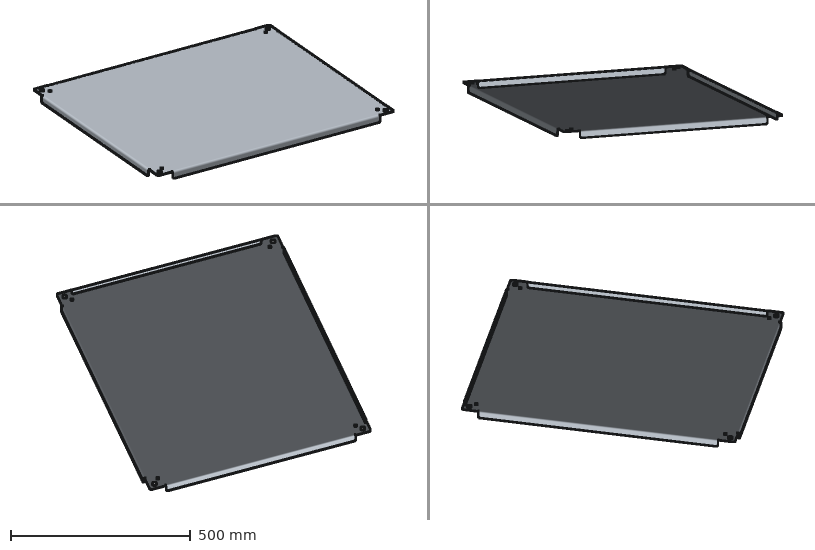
import cadquery as cq

LENGTH_X = 659.0
LENGTH_Y = 783.0
HEIGHT = 22.0

THICKNESS = 2.5
BEND_RADIUS = 6.0
INNER_RADIUS = BEND_RADIUS - THICKNESS

CORNER_INSET = 3.0
CORNER_RADIUS = 6.0

FLANGE_LENGTH_X = 559.5
FLANGE_LENGTH_Y = 682.0
FLANGE_CORNER_CHAMFER = 4.0

MOUNT_HOLE_DIAMETER = 12.5
MOUNT_HOLE_SPACING_X = 615.0
MOUNT_HOLE_SPACING_Y = 742.0
SMALL_HOLE_DIAMETER = 7.1
SMALL_HOLE_SPACING_X = 585.0
SMALL_HOLE_SPACING_Y = 708.0


def flat_sheet():
    """Rounded sheet, notched along each flange back to the start of the bend."""
    size_x = LENGTH_X - 2 * CORNER_INSET
    size_y = LENGTH_Y - 2 * CORNER_INSET
    sheet = (
        cq.Workplane("XY")
        .workplane(offset=HEIGHT - THICKNESS)
        .rect(size_x, size_y)
        .extrude(THICKNESS)
        .edges("|Z")
        .fillet(CORNER_RADIUS)
    )
    for side in (-1, 1):
        notch_x = cq.Workplane("XY").box(2 * BEND_RADIUS, FLANGE_LENGTH_Y, 2 * HEIGHT + THICKNESS)
        notch_y = cq.Workplane("XY").box(FLANGE_LENGTH_X, 2 * BEND_RADIUS, 2 * HEIGHT + THICKNESS)
        sheet = sheet.cut(notch_x.translate((side * LENGTH_X / 2, 0, 0)))
        sheet = sheet.cut(notch_y.translate((0, side * LENGTH_Y / 2, 0)))
    return sheet


def flange(edge_distance, length):
    """Bend and downturned flange on the +X side, with chamfered lower corners."""
    bend_start = edge_distance - BEND_RADIUS
    bend_end = HEIGHT - BEND_RADIUS
    return (
        cq.Workplane("XZ")
        .moveTo(bend_start, HEIGHT)
        .radiusArc((edge_distance, bend_end), BEND_RADIUS)
        .lineTo(edge_distance, 0)
        .lineTo(edge_distance - THICKNESS, 0)
        .lineTo(edge_distance - THICKNESS, bend_end)
        .radiusArc((bend_start, HEIGHT - THICKNESS), -INNER_RADIUS)
        .close()
        .extrude(length / 2, both=True)
        .edges("|X and <Z")
        .chamfer(FLANGE_CORNER_CHAMFER)
    )


def corner_holes(diameter, spacing_x, spacing_y):
    """Four cylinders that cut one hole near each corner of the sheet."""
    return (
        cq.Workplane("XY")
        .rect(spacing_x, spacing_y, forConstruction=True)
        .vertices()
        .circle(diameter / 2)
        .extrude(HEIGHT)
    )


result = flat_sheet()
for angle in (0, 180):
    side_flange = flange(LENGTH_X / 2, FLANGE_LENGTH_Y)
    end_flange = flange(LENGTH_Y / 2, FLANGE_LENGTH_X)
    result = result.union(side_flange.rotate((0, 0, 0), (0, 0, 1), angle))
    result = result.union(end_flange.rotate((0, 0, 0), (0, 0, 1), angle + 90))

result = result.cut(corner_holes(MOUNT_HOLE_DIAMETER, MOUNT_HOLE_SPACING_X, MOUNT_HOLE_SPACING_Y))
result = result.cut(corner_holes(SMALL_HOLE_DIAMETER, SMALL_HOLE_SPACING_X, SMALL_HOLE_SPACING_Y))